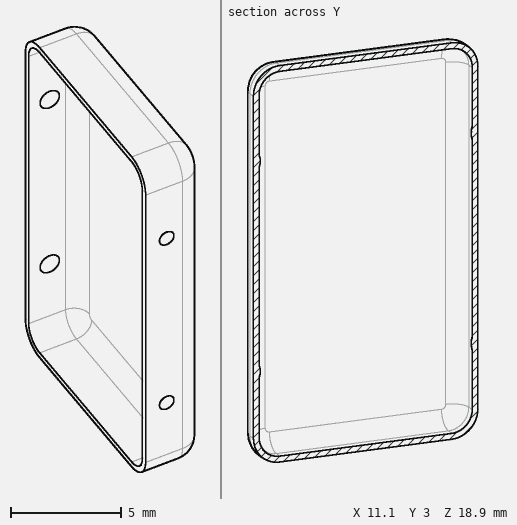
import cadquery as cq
import math

width = 11.1
depth = 3.0
height = 18.9
wall = 0.3
corner_radius = 1.3
back_fillet = 1.1

dimple_radius = 0.5
dimple_mouth_radius = 0.38
dimple_from_rim = 1.1
dimple_spacing = 10.02

rim_y = -depth / 2


def rounded_block(inset):
    """Block with rounded corners and back edges, inset from the sides and back."""
    block_depth = depth - inset
    block = (
        cq.Workplane("XY")
        .box(width - 2 * inset, block_depth, height - 2 * inset)
        .translate((0, rim_y + block_depth / 2, 0))
    )
    block = block.edges("|Y").fillet(corner_radius - inset)
    return block.faces(">Y").edges().fillet(back_fillet - inset)


def dimple_sphere(radius, center):
    """Sphere turned so its seam stays clear of the side walls."""
    sphere = cq.Workplane("XY").sphere(radius)
    return sphere.rotate((0, 0, 0), (0, 0, 1), 90).translate(center)


cavity = rounded_block(wall)
shell = rounded_block(0).cut(cavity)

center_offset = math.sqrt(dimple_radius**2 - dimple_mouth_radius**2)
for side in (-1, 1):
    for level in (-1, 1):
        center = (
            side * (width / 2 + center_offset),
            rim_y + dimple_from_rim,
            level * dimple_spacing / 2,
        )
        bump = dimple_sphere(dimple_radius + wall, center).intersect(cavity)
        shell = shell.union(bump).cut(dimple_sphere(dimple_radius, center))

result = shell